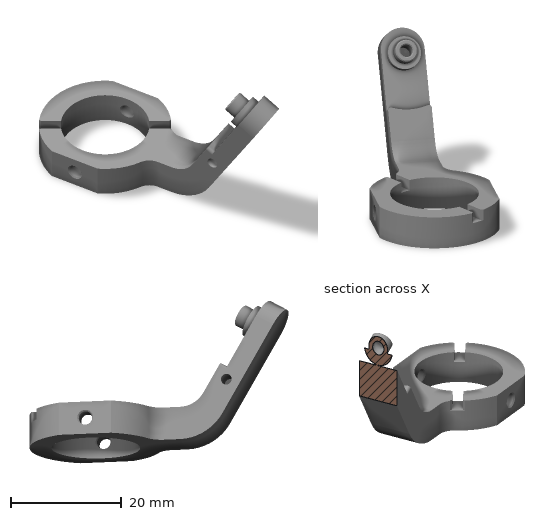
import cadquery as cq
import math

ring_radius = 12.0
bore_radius = 8.05
flat_half_width = 11.0
ring_height = 6.0
slot_width = 2.0
slot_mouth_chamfer = 0.35
slot_depth = 2.0
slot_angle = 30
screw_hole_radius = 1.25
screw_chamfer = 0.25

arm_width = 8.05
arm_angle = 60
total_height = 25.9
arm_reach = 35.25
neck_fillet = 3.0
lower_thickness = 5.0
upper_thickness = 3.6
outer_bend_radius = 9.0
inner_bend_radius = 5.0
step_radius = 10.4
step_edge_fillet = 0.5
cross_hole_radius = 1.0
cross_hole_offset = 12.0
cross_hole_depth = arm_width / 2

boss_setback = 0.8
collar_radius = 3.0
collar_height = lower_thickness - upper_thickness
pin_radius = 2.05
pin_height = 2.3
pin_hole_radius = 1.15
pin_chamfer = 0.2

half_width = arm_width / 2
sin_arm = math.sin(math.radians(arm_angle))
cos_arm = math.cos(math.radians(arm_angle))
arm_top = total_height - upper_thickness * cos_arm
outer_corner_x = arm_reach - arm_top * cos_arm / sin_arm
inner_corner_x = outer_corner_x + (ring_height * cos_arm - lower_thickness) / sin_arm

tip_to_boss = half_width + boss_setback
boss_x = arm_reach - upper_thickness * sin_arm - tip_to_boss * cos_arm
boss_z = arm_top + upper_thickness * cos_arm - tip_to_boss * sin_arm
arm_plane = cq.Plane(
    origin=(boss_x, 0, boss_z),
    xDir=(-cos_arm, 0, -sin_arm),
    normal=(-sin_arm, 0, cos_arm),
)


def make_ring():
    ring = cq.Workplane("XY").circle(ring_radius).extrude(ring_height)
    flats = cq.Workplane("XY").rect(2 * ring_radius, 2 * flat_half_width).extrude(ring_height)
    return ring.intersect(flats)


def make_neck():
    """Web with concave fillets tangent to the ring and to the arm sides."""
    center_y = half_width + neck_fillet
    end_x = math.sqrt((ring_radius + neck_fillet) ** 2 - center_y ** 2)
    share = ring_radius / (ring_radius + neck_fillet)
    ring_x = end_x * share
    ring_y = center_y * share
    end_angle = math.atan2(-center_y, -end_x)
    mid_angle = (end_angle - math.pi / 2) / 2
    mid_x = end_x + neck_fillet * math.cos(mid_angle)
    mid_y = center_y + neck_fillet * math.sin(mid_angle)
    return (
        cq.Workplane("XY")
        .moveTo(0, ring_y)
        .lineTo(ring_x, ring_y)
        .threePointArc((mid_x, mid_y), (end_x, half_width))
        .lineTo(end_x, -half_width)
        .threePointArc((mid_x, -mid_y), (ring_x, -ring_y))
        .lineTo(0, -ring_y)
        .close()
        .extrude(ring_height)
    )


def make_arm():
    tip_rise = lower_thickness * cos_arm
    tip_run = lower_thickness * sin_arm
    arm = (
        cq.Workplane("XZ")
        .polyline([
            (0, 0),
            (outer_corner_x, 0),
            (arm_reach, arm_top),
            (arm_reach - tip_run, arm_top + tip_rise),
            (inner_corner_x, ring_height),
            (0, ring_height),
        ])
        .close()
        .extrude(half_width, both=True)
    )

    def bend_edge(x, z):
        return cq.selectors.NearestToPointSelector((x, 0, z))

    arm = arm.edges(bend_edge(outer_corner_x, 0)).fillet(outer_bend_radius)
    arm = arm.edges(bend_edge(inner_corner_x, ring_height)).fillet(inner_bend_radius)
    return arm.cut(make_tip_trim()).cut(make_step())


def make_tip_trim():
    """Material outside the full round at the free end."""
    block = (
        cq.Workplane(arm_plane)
        .workplane(offset=-upper_thickness)
        .center(-boss_setback - half_width, 0)
        .rect(arm_width, 2 * arm_width)
        .extrude(lower_thickness)
    )
    round_end = (
        cq.Workplane(arm_plane)
        .workplane(offset=-upper_thickness)
        .center(-boss_setback, 0)
        .circle(half_width)
        .extrude(lower_thickness)
    )
    return block.cut(round_end)


def make_step():
    """Relief above the floor, ending in the concave shoulder with rounded outer corners."""
    shoulder = cq.Workplane(arm_plane).circle(step_radius).extrude(arm_width)
    fillet_y = half_width - step_edge_fillet
    fillet_x = math.sqrt((step_radius + step_edge_fillet) ** 2 - fillet_y ** 2)
    share = step_radius / (step_radius + step_edge_fillet)
    for side in (-1, 1):
        corner = (
            cq.Workplane(arm_plane)
            .polyline([
                (fillet_x * share, side * fillet_y * share),
                (fillet_x, side * fillet_y),
                (fillet_x, side * half_width),
                (fillet_x - 2 * step_edge_fillet, side * half_width),
            ])
            .close()
            .extrude(arm_width)
        )
        rounding = (
            cq.Workplane(arm_plane)
            .center(fillet_x, side * fillet_y)
            .circle(step_edge_fillet)
            .extrude(arm_width)
        )
        shoulder = shoulder.union(corner.cut(rounding))
    return shoulder


def make_boss():
    collar = cq.Workplane(arm_plane).circle(collar_radius).extrude(collar_height)
    pin = (
        cq.Workplane(arm_plane)
        .circle(pin_radius)
        .circle(pin_hole_radius)
        .extrude(collar_height + pin_height)
        .faces(cq.selectors.DirectionMinMaxSelector(arm_plane.zDir))
        .edges()
        .chamfer(pin_chamfer)
    )
    bore = cq.Workplane(arm_plane).circle(pin_hole_radius).extrude(collar_height)
    return collar.cut(bore).union(pin)


def make_slot(angle):
    """Radial slot in the top of the ring, its outer mouth flaring at 45 degrees."""
    half_slot = slot_width / 2
    half_mouth = half_slot + slot_mouth_chamfer
    mouth_x = math.sqrt(ring_radius ** 2 - half_mouth ** 2)
    flare_x = mouth_x - slot_mouth_chamfer
    outer_x = ring_radius + neck_fillet
    return (
        cq.Workplane("XY")
        .polyline([
            (0, -half_slot),
            (flare_x, -half_slot),
            (mouth_x, -half_mouth),
            (outer_x, -half_mouth),
            (outer_x, half_mouth),
            (mouth_x, half_mouth),
            (flare_x, half_slot),
            (0, half_slot),
        ])
        .close()
        .extrude(slot_depth)
        .translate((0, 0, ring_height - slot_depth))
        .rotate((0, 0, 0), (0, 0, 1), angle)
    )


def make_screw_hole(side):
    """Radial hole through one flat, chamfered at the flat and at the bore."""
    hole_z = ring_height / 2
    mouth_radius = screw_hole_radius + screw_chamfer
    bore_mouth_y = math.sqrt(bore_radius ** 2 - mouth_radius ** 2)
    profile = [
        (0, 0),
        (mouth_radius, 0),
        (mouth_radius, bore_mouth_y),
        (screw_hole_radius, bore_mouth_y + screw_chamfer),
        (screw_hole_radius, flat_half_width - screw_chamfer),
        (mouth_radius, flat_half_width),
        (0, flat_half_width),
    ]
    return (
        cq.Workplane("XY")
        .polyline([(x, side * y) for x, y in profile])
        .close()
        .revolve(360, (0, 0, 0), (0, 1, 0))
        .translate((0, 0, hole_z))
    )


def make_cross_hole():
    """Blind hole from the -Y side, midway through the lower arm thickness."""
    depth_below_floor = lower_thickness / 2 - collar_height
    center = arm_plane.toWorldCoords((cross_hole_offset, 0, -depth_below_floor))
    return (
        cq.Workplane("XZ", origin=(center.x, -half_width, center.z))
        .circle(cross_hole_radius)
        .extrude(-cross_hole_depth)
    )


bore = cq.Workplane("XY").circle(bore_radius).extrude(ring_height)

result = make_ring().union(make_neck()).union(make_arm()).cut(bore)
for angle in (slot_angle, slot_angle + 180):
    result = result.cut(make_slot(angle))
for flat_side in (-1, 1):
    result = result.cut(make_screw_hole(flat_side))
result = result.cut(make_cross_hole()).union(make_boss())